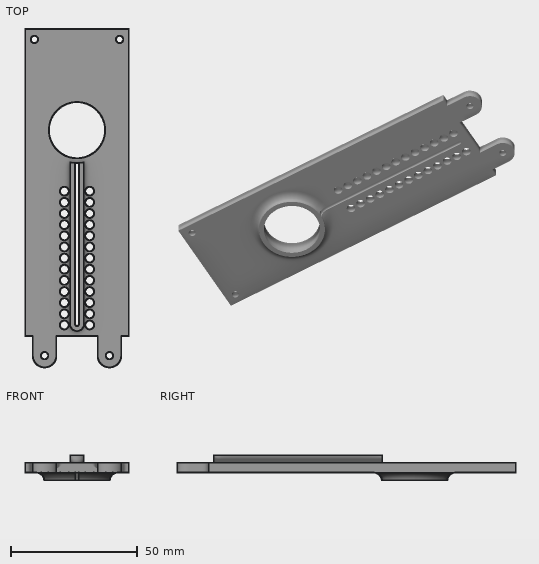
import cadquery as cq
import math

plate_width = 41.0
plate_length = 121.3
plate_thickness = 4.0
ring_hole_inset = 40.0
plate_back_y = ring_hole_inset
plate_front_y = plate_back_y - plate_length

tab_width = 9.4
tab_radius = tab_width / 2
tab_offset_x = 12.8
tab_hole_reach = 7.7
tab_hole_y = plate_front_y - tab_hole_reach

screw_hole_diameter = 2.8
corner_inset_x = 3.7
corner_inset_y = 4.2

ring_hole_diameter = 22.1
collar_radius = 13.0
collar_height = 3.0

rail_height = 3.0
rail_width = 5.4
slot_width = 1.4
slot_end_y = -77.3
rail_wall = (rail_width - slot_width) / 2
rail_end_y = slot_end_y - rail_wall

row_hole_diameter = 3.4
row_hole_count = 13
row_pitch = 4.4
row_offset_x = 5.0
row_first_y = -24.1


def make_plate():
    """Rectangular plate with two round-ended tabs."""
    plate = (
        cq.Workplane("XY")
        .center(0, plate_back_y - plate_length / 2)
        .rect(plate_width, plate_length)
        .extrude(plate_thickness)
    )
    for side in (-1, 1):
        tab_x = side * tab_offset_x
        stem = (
            cq.Workplane("XY")
            .center(tab_x, plate_front_y - tab_hole_reach / 2)
            .rect(tab_width, tab_hole_reach)
            .extrude(plate_thickness)
        )
        tip = (
            cq.Workplane("XY")
            .center(tab_x, tab_hole_y)
            .circle(tab_radius)
            .extrude(plate_thickness)
        )
        plate = plate.union(stem).union(tip)
    return plate


def make_collar():
    """Solid collar flaring into the plate underside through a concave fillet."""
    flare_radius = collar_radius + collar_height
    arc_step = collar_height * math.sqrt(0.5)
    arc_middle = (flare_radius - arc_step, arc_step - collar_height)
    return (
        cq.Workplane("XZ")
        .moveTo(0, 0)
        .lineTo(flare_radius, 0)
        .threePointArc(arc_middle, (collar_radius, -collar_height))
        .lineTo(0, -collar_height)
        .close()
        .revolve(360, (0, 0, 0), (0, 1, 0))
    )


def make_strip(width, end_y, bottom_z, top_z):
    """Strip along Y with a round -Y end and a +Y end hollowed to the collar radius."""
    radius = width / 2
    arc_centre_y = end_y + radius
    height = top_z - bottom_z
    strip = (
        cq.Workplane("XY", origin=(0, 0, bottom_z))
        .moveTo(-radius, 0)
        .lineTo(-radius, arc_centre_y)
        .threePointArc((0, end_y), (radius, arc_centre_y))
        .lineTo(radius, 0)
        .close()
        .extrude(height)
    )
    clearance = cq.Workplane("XY", origin=(0, 0, bottom_z)).circle(collar_radius).extrude(height)
    return strip.cut(clearance)


def make_holes(points, diameter):
    """Through holes in the plate."""
    return cq.Workplane("XY").pushPoints(points).circle(diameter / 2).extrude(plate_thickness)


rail_top_z = plate_thickness + rail_height
rail = make_strip(rail_width, rail_end_y, plate_thickness, rail_top_z)
slot = make_strip(slot_width, slot_end_y, -collar_height, rail_top_z)
ring_hole = (
    cq.Workplane("XY", origin=(0, 0, -collar_height))
    .circle(ring_hole_diameter / 2)
    .extrude(collar_height + plate_thickness)
)

screw_points = []
row_points = []
for side in (-1, 1):
    screw_points.append((side * tab_offset_x, tab_hole_y))
    screw_points.append((side * (plate_width / 2 - corner_inset_x), plate_back_y - corner_inset_y))
    for index in range(row_hole_count):
        row_points.append((side * row_offset_x, row_first_y - index * row_pitch))

result = (
    make_plate()
    .union(make_collar())
    .union(rail)
    .cut(ring_hole)
    .cut(slot)
    .cut(make_holes(screw_points, screw_hole_diameter))
    .cut(make_holes(row_points, row_hole_diameter))
)